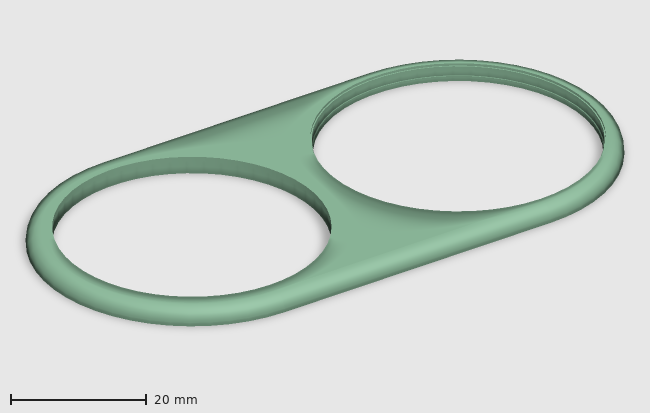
import cadquery as cq

length = 96.3
width = 49.0
height = 2.8
edge_radius = 2.2
end_offset = (length - width) / 2

plain_diameter = 41.2

lip_diameter = 42.8
seat_diameter = 43.2
mouth_diameter = 43.6
lip_height = 0.9
seat_top = 2.4


def disc(diameter, bottom, top, center_y):
    """Vertical cylinder between two heights, centred on the long axis."""
    return (
        cq.Workplane("XY", origin=(0, center_y, bottom))
        .circle(diameter / 2)
        .extrude(top - bottom)
    )


plate = cq.Workplane("XY").slot2D(length, width, angle=90).extrude(height)
plate = plate.faces(">Z").edges().fillet(edge_radius)

plain_opening = disc(plain_diameter, 0, height, -end_offset)

stepped_opening = (
    disc(lip_diameter, 0, lip_height, end_offset)
    .union(disc(seat_diameter, lip_height, seat_top, end_offset))
    .union(disc(mouth_diameter, seat_top, height, end_offset))
)

result = plate.cut(plain_opening).cut(stepped_opening)